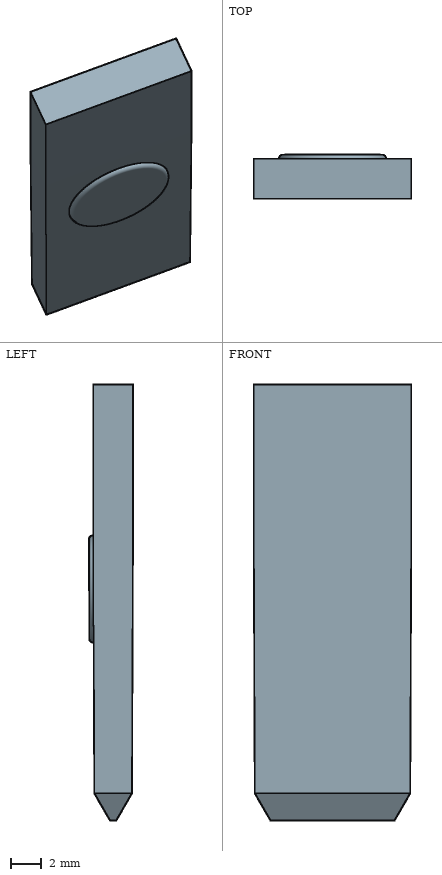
import cadquery as cq
import math

length = 28.2
width = 10.2
thickness = 2.6

head_length = 8.35
tip_length = 1.78
shank_inset = 0.07
tip_angle = 30.0

pad_diameter = 6.95
pad_height = 0.28
pad_edge_radius = 0.25
pad_center_z = 14.97

shank_top_z = length - head_length
shank_length = shank_top_z - tip_length
shank_angle = math.degrees(math.atan(shank_inset / shank_length))
tip_inset = tip_length * math.tan(math.radians(tip_angle))


def tapered_section(bottom_z, top_z, bottom_inset, top_inset):
    """Loft between two rectangles, each inset equally on all four sides of the head."""
    return (
        cq.Workplane("XY", origin=(0, 0, bottom_z))
        .rect(width - 2 * bottom_inset, thickness - 2 * bottom_inset)
        .workplane(offset=top_z - bottom_z)
        .rect(width - 2 * top_inset, thickness - 2 * top_inset)
        .loft(ruled=True)
    )


def round_pad():
    """Disc with a rounded rim, square to the tapered +Y face of the shank."""
    inset = (shank_top_z - pad_center_z) * math.tan(math.radians(shank_angle))
    tilt = math.radians(shank_angle)
    face = cq.Plane(
        origin=(0, thickness / 2 - inset, pad_center_z),
        xDir=(1, 0, 0),
        normal=(0, math.cos(tilt), -math.sin(tilt)),
    )
    embed = 0.28
    return (
        cq.Workplane(face)
        .workplane(offset=-embed)
        .circle(pad_diameter / 2)
        .extrude(embed + pad_height)
        .faces(">Y")
        .edges()
        .fillet(pad_edge_radius)
    )


head = tapered_section(shank_top_z, length, 0, 0)
shank = tapered_section(tip_length, shank_top_z, shank_inset, 0)
tip = tapered_section(0, tip_length, shank_inset + tip_inset, shank_inset)

result = head.union(shank).union(tip).union(round_pad())